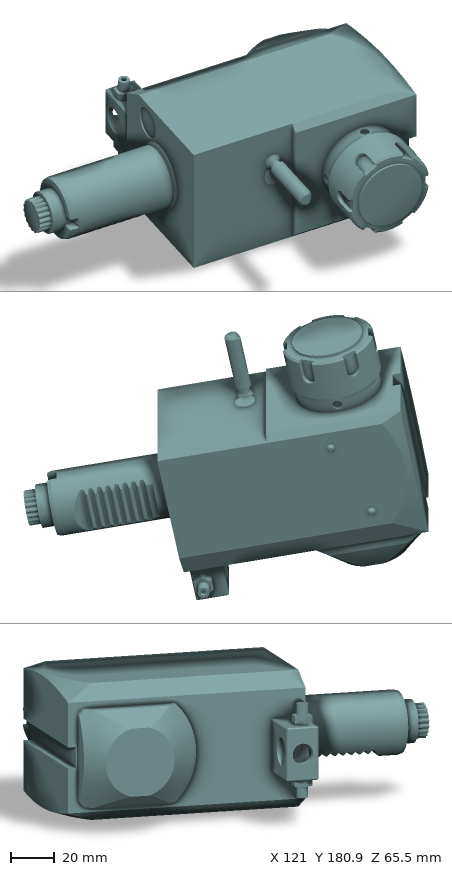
import cadquery as cq


HALF_WIDTH = 32.0
LENGTH = 114.0
BEVEL_X = 11.2
BEVEL_Z = 6.2
PAD_THICKNESS = 3.3
PAD_START_Y = 51.2
DOME_X = 9.2
DOME_Y = 65.5
DOME_RADIUS = 45.2
DOME_SLOPE = 1 / 3
DOME_REACH = 36.2
REAR_SLOT_WIDTH = 10.0
REAR_SLOT_DEPTH = 3.8
PLUG_X = -12.3
PLUG_Z = 21.7
PLUG_RADIUS = 7.6
PLUG_RECESS = 0.7

SPINDLE_Y = 85.3
PAD_FACE = HALF_WIDTH + PAD_THICKNESS
COLLAR_RADIUS = 20.1
COLLAR_END = 42.4
NECK_RADIUS = 17.2
NUT_START = 43.3
NUT_RADIUS = 21.2
NUT_END = 62.6
NUT_CHAMFER = 0.9
NOSE_RADIUS = 16.3
NOSE_END = 63.7
NUT_SLOT_COUNT = 6
NUT_SLOT_WIDTH = 6.7
NUT_SLOT_START = 51.4
NUT_SLOT_FLOOR = 18.8
COLLAR_HOLE_COUNT = 4
COLLAR_HOLE_X = 39.0
COLLAR_HOLE_RADIUS = 2.2
COLLAR_HOLE_DEPTH = 1.8

COVER_RADIUS = 31.7
COVER_FACE_RADIUS = 16.5
COVER_HALF_HEIGHT = 22.8
COVER_REAR_Y = 109.7
COVER_RIM = 3.3
COVER_FACE_X = -50.5
COVER_BEVEL_LENGTH = 12.7
COVER_BEVEL_HEIGHT = 6.9

SHANK_RADIUS = 15.0
SHANK_LENGTH = 54.8
SHANK_CHAMFER_LENGTH = 1.8
SHANK_CHAMFER_HEIGHT = 0.5
COLLAR_RIM_RADIUS = 16.1
COLLAR_RIM_LENGTH = 0.5
RELIEF_RADIUS = 14.5
RELIEF_Y = 1.5
RELIEF_END_Y = 2.2
BOSS_RADIUS = 10.1
BOSS_LENGTH = 6.3
KEY_WIDTH = 5.8
KEY_FLOOR_X = 9.8
KEY_LENGTH = 4.5
KEY_POCKET_WIDTH = 3.6
KEY_POCKET_INNER_X = 10.3
KEY_POCKET_OUTER_X = 13.0
KEY_POCKET_DEPTH = 1.8

SPLINE_LENGTH = 5.8
SPLINE_RADIUS = 8.1
SPLINE_ROOT_RADIUS = 7.2
SPLINE_TEETH = 18
SPLINE_GAP = 2.4

RACK_START = 6.5
RACK_TIP_Z = -12.1
RACK_ROOT_Z = -10.3
RACK_PITCH = 4.0
RACK_GAPS = 8
RACK_FIRST_GAP = 11.4
RACK_ROOT_WIDTH = 1.5
RACK_MOUTH_WIDTH = 3.3

BLOCK_LEFT_X = -56.0
BLOCK_START_Y = 1.3
BLOCK_END_Y = 16.5
BLOCK_HALF_HEIGHT = 12.5
BLOCK_CHAMFER = 0.5
BORE_X = -46.9
BORE_RADIUS = 6.5
CROSS_BORE_RADIUS = 4.9
CROSS_BORE_END_X = -38.0
PILOT_RADIUS = 1.5
PILOT_DEPTH = 1.8
STUD_Y = 6.3
STUD_RADIUS = 2.7
STUD_TOP_Z = 21.9
STUD_TIP_RADIUS = 1.6
STUD_TIP_Z = 6.0
LOCK_NUT_CORNERS = 9.6
LOCK_NUT_TOP_Z = 16.5
SOCKET_CORNERS = 3.0
SOCKET_DEPTH = 1.8

PIN_Y = 41.0
PIN_Z = 13.8
PIN_RADIUS = 3.6
PIN_NECK_RADIUS = 2.5
PIN_END_X = 65.0
PIN_BASE_LENGTH = 2.0
PIN_SHOULDER_X = 36.5
PIN_SHOULDER_LENGTH = 0.7
PIN_CHAMFER = 0.9
PIN_FACET = 2.5
PIN_FOOT_RADIUS = 4.2

HEAD_Z = 6.7
HEAD_START_X = 32.8
HEAD_THICKNESS = 0.4
HEAD_RADIUS = 4.7
HEAD_NECK_RADIUS = 3.6

BUTTON_SPOTS = [(-12.9, 91.2), (23.9, 79.3)]
BUTTON_RADIUS = 2.0
BUTTON_TIP_RADIUS = 0.9
BUTTON_HEIGHT = 1.5


def box(x0, x1, y0, y1, z0, z1):
    """Block between two opposite corners."""
    return cq.Workplane("XY").box(x1 - x0, y1 - y0, z1 - z0, centered=False).translate((x0, y0, z0))


def turned_along_x(profile, y, z):
    """Solid turned about an axis parallel to X; the profile lists (x, radius)."""
    points = [(profile[0][0], 0)] + profile + [(profile[-1][0], 0)]
    solid = cq.Workplane("XY").polyline(points).close().revolve(360, (0, 0), (1, 0))
    return solid.translate((0, y, z))


def turned_along_y(profile):
    """Solid turned about the Y axis; the profile lists (radius, y)."""
    points = [(0, profile[0][1])] + profile + [(0, profile[-1][1])]
    return cq.Workplane("XY").polyline(points).close().revolve(360, (0, 0), (0, 1))


def dome_cutter():
    """Ring above a shallow cone about a vertical axis, kept to the rear half only."""
    outer = DOME_RADIUS + DOME_REACH
    drop = DOME_REACH * DOME_SLOPE
    ring = (
        cq.Workplane("XZ")
        .polyline([(DOME_RADIUS, HALF_WIDTH), (outer, HALF_WIDTH - drop), (outer, HALF_WIDTH)])
        .close()
        .revolve(360, (0, 0), (0, 1))
        .translate((DOME_X, DOME_Y, 0))
    )
    return ring.intersect(box(-outer, outer, DOME_Y, LENGTH + outer, 0, HALF_WIDTH))


def make_housing():
    left = -HALF_WIDTH
    edge = HALF_WIDTH - BEVEL_Z
    outline = [
        (left, -edge),
        (left + BEVEL_X, -HALF_WIDTH),
        (HALF_WIDTH, -HALF_WIDTH),
        (PAD_FACE, PAD_THICKNESS - HALF_WIDTH),
        (PAD_FACE, HALF_WIDTH - PAD_THICKNESS),
        (HALF_WIDTH, HALF_WIDTH),
        (left + BEVEL_X, HALF_WIDTH),
        (left, edge),
    ]
    housing = cq.Workplane("XZ").polyline(outline).close().extrude(-LENGTH)
    housing = housing.cut(box(HALF_WIDTH, PAD_FACE, 0, PAD_START_Y, -HALF_WIDTH, HALF_WIDTH))

    dome = dome_cutter()
    housing = housing.cut(dome).cut(dome.mirror("XY"))

    half_slot = REAR_SLOT_WIDTH / 2
    housing = housing.cut(box(left, PAD_FACE, LENGTH - REAR_SLOT_DEPTH, LENGTH, -half_slot, half_slot))

    plug = cq.Workplane("XZ").center(PLUG_X, PLUG_Z).circle(PLUG_RADIUS).extrude(-PLUG_RECESS)
    return housing.cut(plug)


def make_spindle():
    spindle = turned_along_x(
        [
            (HALF_WIDTH, COLLAR_RADIUS),
            (COLLAR_END, COLLAR_RADIUS),
            (COLLAR_END, NECK_RADIUS),
            (NUT_START, NECK_RADIUS),
            (NUT_START, NUT_RADIUS),
            (NUT_END - NUT_CHAMFER, NUT_RADIUS),
            (NUT_END, NUT_RADIUS - NUT_CHAMFER),
            (NUT_END, NOSE_RADIUS),
            (NOSE_END, NOSE_RADIUS),
        ],
        0,
        0,
    )

    round_x = NUT_SLOT_START + NUT_SLOT_WIDTH / 2
    slot_depth = NUT_RADIUS - NUT_SLOT_FLOOR
    slot_end = cq.Workplane("XY").center(round_x, 0).circle(NUT_SLOT_WIDTH / 2).extrude(slot_depth)
    slot_run = box(round_x, NOSE_END, -NUT_SLOT_WIDTH / 2, NUT_SLOT_WIDTH / 2, 0, slot_depth)
    nut_slot = slot_end.union(slot_run).translate((0, 0, NUT_SLOT_FLOOR))
    for i in range(NUT_SLOT_COUNT):
        spindle = spindle.cut(nut_slot.rotate((0, 0, 0), (1, 0, 0), 90 + i * 360 / NUT_SLOT_COUNT))

    collar_hole = (
        cq.Workplane("XY", origin=(COLLAR_HOLE_X, 0, COLLAR_RADIUS - COLLAR_HOLE_DEPTH))
        .circle(COLLAR_HOLE_RADIUS)
        .extrude(COLLAR_HOLE_DEPTH)
    )
    for i in range(COLLAR_HOLE_COUNT):
        spindle = spindle.cut(collar_hole.rotate((0, 0, 0), (1, 0, 0), i * 360 / COLLAR_HOLE_COUNT))
    return spindle.translate((0, SPINDLE_Y, 0))


def make_cover():
    cover = turned_along_x(
        [
            (COVER_FACE_X, COVER_FACE_RADIUS),
            (-HALF_WIDTH - COVER_RIM, COVER_RADIUS),
            (-HALF_WIDTH, COVER_RADIUS),
        ],
        SPINDLE_Y,
        0,
    )
    bevel_x = COVER_FACE_X + COVER_BEVEL_LENGTH
    face_height = COVER_HALF_HEIGHT - COVER_BEVEL_HEIGHT
    limits = (
        cq.Workplane("XZ")
        .polyline(
            [
                (-HALF_WIDTH, COVER_HALF_HEIGHT),
                (bevel_x, COVER_HALF_HEIGHT),
                (COVER_FACE_X, face_height),
                (COVER_FACE_X, -face_height),
                (bevel_x, -COVER_HALF_HEIGHT),
                (-HALF_WIDTH, -COVER_HALF_HEIGHT),
            ]
        )
        .close()
        .extrude(-COVER_REAR_Y)
    )
    return cover.intersect(limits)


def rack_cutter():
    """Clearance with a square front step, a row of tooth gaps and a 45 degree run-out."""
    below = -SHANK_RADIUS - 1.8
    last_gap = RACK_FIRST_GAP + (RACK_GAPS - 1) * RACK_PITCH
    runout = last_gap + RACK_ROOT_WIDTH / 2
    outline = [(-RACK_START, below), (-RACK_START, RACK_TIP_Z)]
    for i in range(RACK_GAPS):
        middle = RACK_FIRST_GAP + i * RACK_PITCH
        outline.append((-(middle - RACK_MOUTH_WIDTH / 2), RACK_TIP_Z))
        outline.append((-(middle - RACK_ROOT_WIDTH / 2), RACK_ROOT_Z))
        outline.append((-(middle + RACK_ROOT_WIDTH / 2), RACK_ROOT_Z))
        if i < RACK_GAPS - 1:
            outline.append((-(middle + RACK_MOUTH_WIDTH / 2), RACK_TIP_Z))
    outline.append((-(runout + RACK_ROOT_Z - below), below))
    return cq.Workplane("YZ").polyline(outline).close().extrude(SHANK_RADIUS, both=True)


def make_shank():
    boss_end = -SHANK_LENGTH - BOSS_LENGTH
    spline_end = boss_end - SPLINE_LENGTH
    shank = turned_along_y(
        [
            (COLLAR_RIM_RADIUS, 0),
            (COLLAR_RIM_RADIUS, -COLLAR_RIM_LENGTH),
            (RELIEF_RADIUS, -RELIEF_Y),
            (SHANK_RADIUS, -RELIEF_END_Y),
            (SHANK_RADIUS, SHANK_CHAMFER_LENGTH - SHANK_LENGTH),
            (SHANK_RADIUS - SHANK_CHAMFER_HEIGHT, -SHANK_LENGTH),
            (BOSS_RADIUS, -SHANK_LENGTH),
            (BOSS_RADIUS, boss_end),
            (SPLINE_RADIUS, boss_end),
            (SPLINE_RADIUS, spline_end),
        ]
    )
    shank = shank.cut(rack_cutter())

    half_key = KEY_WIDTH / 2
    key_slot = box(KEY_FLOOR_X, SHANK_RADIUS, -SHANK_LENGTH, KEY_LENGTH - SHANK_LENGTH, -half_key, half_key)
    shank = shank.cut(key_slot)
    half_pocket = KEY_POCKET_WIDTH / 2
    pocket_y = KEY_LENGTH - SHANK_LENGTH
    pocket = box(
        KEY_POCKET_INNER_X,
        KEY_POCKET_OUTER_X,
        pocket_y,
        pocket_y + KEY_POCKET_DEPTH,
        -half_pocket,
        half_pocket,
    )
    shank = shank.cut(pocket)

    gap = (
        cq.Workplane("XZ", origin=(0, boss_end, 0))
        .polyline([(SPLINE_ROOT_RADIUS, 0), (SPLINE_RADIUS, SPLINE_GAP / 2), (SPLINE_RADIUS, -SPLINE_GAP / 2)])
        .close()
        .extrude(SPLINE_LENGTH)
    )
    tooth_angle = 360 / SPLINE_TEETH
    for i in range(SPLINE_TEETH):
        shank = shank.cut(gap.rotate((0, 0, 0), (0, 1, 0), i * tooth_angle))
    return shank


def make_stud():
    """Upper locking stud with its hexagon nut, socket and a thin tip reaching into the bore."""
    base = cq.Workplane("XY", origin=(BORE_X, STUD_Y, BLOCK_HALF_HEIGHT))
    nut = base.polygon(6, LOCK_NUT_CORNERS).extrude(LOCK_NUT_TOP_Z - BLOCK_HALF_HEIGHT)
    stud = base.circle(STUD_RADIUS).extrude(STUD_TOP_Z - BLOCK_HALF_HEIGHT)
    socket = base.workplane(STUD_TOP_Z - BLOCK_HALF_HEIGHT).polygon(6, SOCKET_CORNERS).extrude(-SOCKET_DEPTH)
    tip = base.circle(STUD_TIP_RADIUS).extrude(STUD_TIP_Z - BLOCK_HALF_HEIGHT)
    return nut.union(stud).cut(socket).union(tip)


def make_clamp_block():
    block = box(
        BLOCK_LEFT_X, -HALF_WIDTH, BLOCK_START_Y, BLOCK_END_Y, -BLOCK_HALF_HEIGHT, BLOCK_HALF_HEIGHT
    )
    block = block.faces("<X").edges().chamfer(BLOCK_CHAMFER)
    block = block.edges("|X").chamfer(BLOCK_CHAMFER)
    bore = cq.Workplane("XZ").center(BORE_X, 0).circle(BORE_RADIUS).extrude(-BLOCK_END_Y)
    cross_bore = turned_along_x(
        [
            (BLOCK_LEFT_X, CROSS_BORE_RADIUS),
            (CROSS_BORE_END_X, CROSS_BORE_RADIUS),
            (CROSS_BORE_END_X, PILOT_RADIUS),
            (CROSS_BORE_END_X + PILOT_DEPTH, PILOT_RADIUS),
        ],
        (BLOCK_START_Y + BLOCK_END_Y) / 2,
        0,
    )
    block = block.cut(bore).cut(cross_bore)
    stud = make_stud()
    return block.union(stud).union(stud.mirror("XY"))


def make_pin():
    base_end = HALF_WIDTH + PIN_BASE_LENGTH
    pin = turned_along_x(
        [
            (HALF_WIDTH, PIN_FOOT_RADIUS),
            (base_end, PIN_NECK_RADIUS),
            (PIN_SHOULDER_X, PIN_NECK_RADIUS),
            (PIN_SHOULDER_X + PIN_SHOULDER_LENGTH, PIN_RADIUS),
            (PIN_END_X - PIN_CHAMFER, PIN_RADIUS),
            (PIN_END_X, PIN_RADIUS - PIN_CHAMFER),
        ],
        PIN_Y,
        PIN_Z,
    )
    side = PIN_Y + PIN_RADIUS
    facet = (
        cq.Workplane("XY", origin=(0, 0, PIN_Z))
        .polyline([(PIN_END_X - PIN_FACET, side), (PIN_END_X, side), (PIN_END_X, side - PIN_FACET)])
        .close()
        .extrude(PIN_RADIUS, both=True)
    )
    return pin.cut(facet)


def make_plug_head():
    """Flat headed plug just below the pin."""
    return turned_along_x(
        [
            (HALF_WIDTH, HEAD_NECK_RADIUS),
            (HEAD_START_X, HEAD_NECK_RADIUS),
            (HEAD_START_X, HEAD_RADIUS),
            (HEAD_START_X + HEAD_THICKNESS, HEAD_RADIUS),
        ],
        PIN_Y,
        HEAD_Z,
    )


def make_button(x, y):
    cone = cq.Solid.makeCone(
        BUTTON_RADIUS, BUTTON_TIP_RADIUS, BUTTON_HEIGHT, cq.Vector(x, y, -HALF_WIDTH), cq.Vector(0, 0, -1)
    )
    return cq.Workplane(cone)


result = make_housing()
components = [
    make_spindle(),
    make_cover(),
    make_shank(),
    make_clamp_block(),
    make_pin(),
    make_plug_head(),
]
for component in components:
    result = result.union(component)
for button_x, button_y in BUTTON_SPOTS:
    result = result.union(make_button(button_x, button_y))